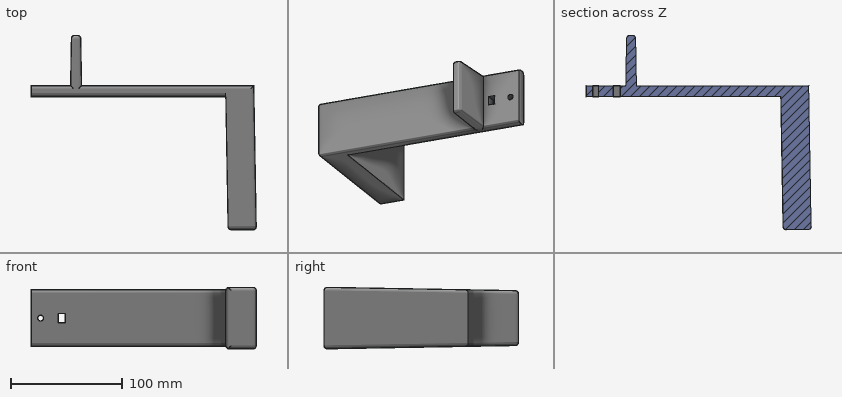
import cadquery as cq
import math

DRAFT = math.tan(math.radians(1.0))
TOTAL_DEPTH = 175.0
NEUTRAL_Y = 160.0
NOMINAL_HEIGHT = 50.0

PLATE_BACK_Y = 129.7
PLATE_THICKNESS = 10.0
PLATE_FRONT_Y = PLATE_BACK_Y - PLATE_THICKNESS

LEG_END_RIGHT_X = 202.61
LEG_WIDTH = 25.5

RIB_CENTER_X = 40.4
RIB_NOMINAL_THICKNESS = 9.0

EDGE_RADIUS = 3.0

PIN_HOLE_X = 8.5
PIN_HOLE_DIAMETER = 5.0
SLOT_X = 27.5
SLOT_WIDTH = 6.0
SLOT_HEIGHT = 8.0

TOLERANCE = 0.01


def spread(y):
    """Outward shift of one drafted face at y, relative to the neutral plane."""
    return (NEUTRAL_Y - y) * DRAFT


def half_height(y):
    return NOMINAL_HEIGHT / 2 + spread(y)


def leg_right_x(y):
    """Outer face of the leg; both leg faces lean toward +X at the free end."""
    return LEG_END_RIGHT_X - y * DRAFT


def leg_left_x(y):
    return leg_right_x(y) - LEG_WIDTH


def rib_side_x(y, side):
    return RIB_CENTER_X + side * (RIB_NOMINAL_THICKNESS / 2 + spread(y))


def plan_outline():
    """Plan of plate, leg and rib, extruded well past the full height."""
    points = [
        (0, PLATE_FRONT_Y),
        (leg_left_x(PLATE_FRONT_Y), PLATE_FRONT_Y),
        (leg_left_x(0), 0),
        (leg_right_x(0), 0),
        (leg_right_x(PLATE_BACK_Y), PLATE_BACK_Y),
        (rib_side_x(PLATE_BACK_Y, 1), PLATE_BACK_Y),
        (rib_side_x(TOTAL_DEPTH, 1), TOTAL_DEPTH),
        (rib_side_x(TOTAL_DEPTH, -1), TOTAL_DEPTH),
        (rib_side_x(PLATE_BACK_Y, -1), PLATE_BACK_Y),
        (0, PLATE_BACK_Y),
    ]
    return cq.Workplane("XY").polyline(points).close().extrude(NOMINAL_HEIGHT, both=True)


def height_wedge():
    """Side profile that narrows in height from the leg end to the rib tip."""
    points = [
        (0, -half_height(0)),
        (0, half_height(0)),
        (TOTAL_DEPTH, half_height(TOTAL_DEPTH)),
        (TOTAL_DEPTH, -half_height(TOTAL_DEPTH)),
    ]
    return cq.Workplane("YZ").polyline(points).close().extrude(LEG_END_RIGHT_X)


def is_rounded(edge):
    """True except at the plate's free end, the leg's inner face and upright edges on the plate's back."""
    center = edge.Center()
    at_plate_end = center.x < TOLERANCE
    is_vertical = edge.BoundingBox().zlen > NOMINAL_HEIGHT / 2
    on_leg_inner_face = (
        center.y < PLATE_FRONT_Y + TOLERANCE
        and abs(center.x - leg_left_x(center.y)) < TOLERANCE
        and center.y > TOLERANCE
    )
    at_plate_back = abs(center.y - PLATE_BACK_Y) < TOLERANCE
    return not (at_plate_end or on_leg_inner_face or (is_vertical and at_plate_back))


def round_edges(body):
    edges = [edge for edge in body.edges().vals() if is_rounded(edge)]
    return body.newObject(edges).fillet(EDGE_RADIUS)


def plate_holes():
    """Round pin hole and rectangular slot, both through the plate along Y."""
    plate_face = cq.Workplane("XZ", origin=(0, PLATE_BACK_Y, 0))
    pin_hole = plate_face.center(PIN_HOLE_X, 0).circle(PIN_HOLE_DIAMETER / 2).extrude(PLATE_THICKNESS)
    slot = plate_face.center(SLOT_X, 0).rect(SLOT_WIDTH, SLOT_HEIGHT).extrude(PLATE_THICKNESS)
    return pin_hole.union(slot)


body = plan_outline().intersect(height_wedge())
result = round_edges(body).cut(plate_holes())